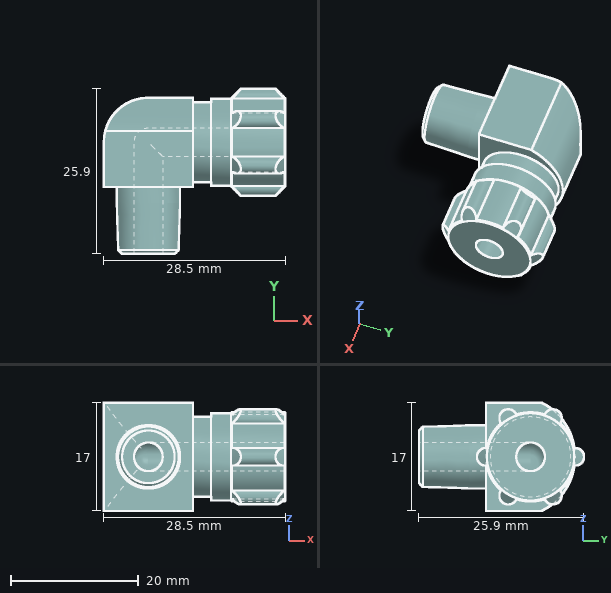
import cadquery as cq
import math


block_half = 7.0
block_height = 17.0
back_radius = 9.5

neck_diameter = 12.6
neck_length = 2.82
collar_diameter = 13.7
nut_body_radius = 7.0
nut_end_x = 28.5 - block_half
nut_length = 8.55
nut_start_x = nut_end_x - nut_length
rib_count = 6
rib_radius = 1.4
nut_outer_radius = nut_body_radius + rib_radius
nut_end_radius = collar_diameter / 2
nut_chamfer = nut_outer_radius - nut_end_radius

stub_radius = 9.98 / 2
stub_length = 10.5
stub_straight_length = 2.5
stub_chamfer = 0.63
stub_taper = 1 / 32

bore_radius = 4.5 / 2


def make_block():
    """Square block with a rounded outer corner and a rounded back."""
    corner_mid = block_half * math.sqrt(0.5)
    plan = (
        cq.Workplane("XY")
        .moveTo(-block_half, -block_half)
        .lineTo(block_half, -block_half)
        .lineTo(block_half, block_half)
        .lineTo(0, block_half)
        .threePointArc((-corner_mid, corner_mid), (-block_half, 0))
        .close()
        .extrude(block_height / 2, both=True)
    )
    half_height = block_height / 2
    back_center_y = block_half - back_radius
    back_edge_y = back_center_y + math.sqrt(back_radius**2 - half_height**2)
    side = (
        cq.Workplane("YZ")
        .moveTo(-block_half, -half_height)
        .lineTo(back_edge_y, -half_height)
        .threePointArc((block_half, 0), (back_edge_y, half_height))
        .lineTo(-block_half, half_height)
        .close()
        .extrude(block_half, both=True)
    )
    return plan.intersect(side)


def cylinder_along_x(start, end, radius):
    return cq.Workplane("YZ").workplane(offset=start).circle(radius).extrude(end - start)


def make_nut():
    """Round nut with full-length grip ribs, both ends cut by a 45 degree cone."""
    nut = cylinder_along_x(nut_start_x, nut_end_x, nut_body_radius)
    for i in range(rib_count):
        angle = 2 * math.pi * i / rib_count
        rib = cylinder_along_x(nut_start_x, nut_end_x, rib_radius).translate(
            (0, nut_body_radius * math.cos(angle), nut_body_radius * math.sin(angle))
        )
        nut = nut.union(rib)
    envelope = (
        cq.Workplane("XY")
        .polyline([
            (nut_start_x, 0),
            (nut_start_x, nut_end_radius),
            (nut_start_x + nut_chamfer, nut_outer_radius),
            (nut_end_x - nut_chamfer, nut_outer_radius),
            (nut_end_x, nut_end_radius),
            (nut_end_x, 0),
        ])
        .close()
        .revolve(360, (0, 0, 0), (1, 0, 0))
    )
    return nut.intersect(envelope)


def make_stub():
    """Straight root, tapered length and chamfered tip, revolved about Y."""
    tip_y = -block_half - stub_length
    taper_start_y = -block_half - stub_straight_length
    taper_end_y = tip_y + stub_chamfer
    taper_end_radius = stub_radius - stub_taper * (taper_start_y - taper_end_y)
    return (
        cq.Workplane("XY")
        .polyline([
            (0, 0),
            (stub_radius, 0),
            (stub_radius, taper_start_y),
            (taper_end_radius, taper_end_y),
            (taper_end_radius - stub_chamfer, tip_y),
            (0, tip_y),
        ])
        .close()
        .revolve(360, (0, 0, 0), (0, 1, 0))
    )


def make_bore():
    """Two bores meeting at the origin, with a spherical outer bend."""
    stub_bore = cq.Workplane("XZ").circle(bore_radius).extrude(block_half + stub_length)
    nut_bore = cylinder_along_x(0, nut_end_x, bore_radius)
    return stub_bore.union(nut_bore).union(cq.Workplane("XY").sphere(bore_radius))


neck_end_x = block_half + neck_length
neck = cylinder_along_x(0, neck_end_x, neck_diameter / 2)
collar = cylinder_along_x(neck_end_x, nut_start_x, collar_diameter / 2)

result = make_block().union(neck).union(collar).union(make_nut()).union(make_stub()).cut(make_bore())